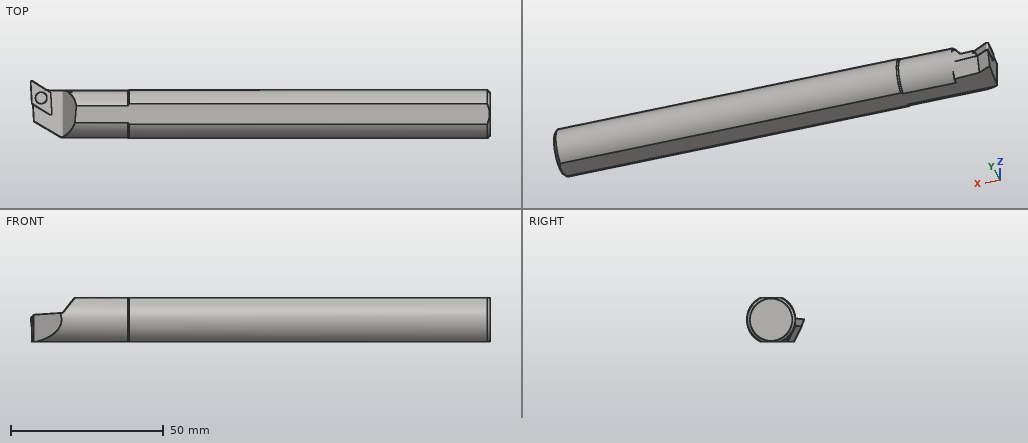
import cadquery as cq
import math

total_length = 151.2
shank_diameter = 16.0
neck_diameter = 15.5
neck_end_x = 31.9
shank_start_x = 32.5
flat_height = 14.5
end_chamfer = 1.0
half_height = flat_height / 2
shank_radius = shank_diameter / 2
neck_radius = neck_diameter / 2

nose_y = 10.9
nose_z = 0.2
insert_side = 7.9
insert_thickness = 2.4
insert_angle = 55.0
lead_angle = 3.0
clearance_angle = 7.0
nose_radius = 0.5
stud_diameter = 3.8
pocket_clearance = 0.6

rake_angle = 6.5
wall_foot_x = 10.6
wall_angle = 36.0
wall_fillet = 0.6
cut_size = 45.3

face_x = 1.0
face_y = -2.4
tip_x = 0.3
tip_y = 10.1
tip_bottom_y = 7.5
heel_x = 10.6
head_end_x = 13.6
shoulder_x = 4.5
shoulder_y = 8.0
head_end_y = 7.4
relief_top_z = -2.1
head_top_z = 3.0


def tilt(body):
    """Move a body from the rake frame to the nose height and rake tilt."""
    return body.rotate((0, nose_y, 0), (1, nose_y, 0), -rake_angle).translate((0, 0, nose_z))


def make_shaft():
    """Round bar with a conical step, chamfered at its end and flattened above and below."""
    profile = [
        (0, 0),
        (0, neck_radius),
        (neck_end_x, neck_radius),
        (shank_start_x, shank_radius),
        (total_length - end_chamfer, shank_radius),
        (total_length, shank_radius - end_chamfer),
        (total_length, 0),
    ]
    bar = cq.Workplane("XY").polyline(profile).close().revolve(360, (0, 0, 0), (1, 0, 0))
    flats = cq.Workplane("XY").box(2 * total_length, 2 * shank_diameter, flat_height)
    return bar.intersect(flats)


def head_outline():
    """Corners of the head, counted from the front tip round by the -Y side."""
    return [
        (tip_x, tip_y),
        (face_x, face_y),
        (heel_x, -shank_radius),
        (head_end_x, -shank_radius),
        (head_end_x, head_end_y),
        (shoulder_x, shoulder_y),
    ]


def make_head():
    """Head block with a leaning flank below the nose and a round -Y side."""
    outline = head_outline()
    flank_shift_y = tip_y - tip_bottom_y
    flank_shift_x = flank_shift_y * (face_x - tip_x) / (tip_y - face_y)
    bottom = [
        (tip_x + flank_shift_x, tip_bottom_y),
        *outline[1:4],
        (head_end_x, head_end_y - flank_shift_y),
        (shoulder_x + flank_shift_x, shoulder_y - flank_shift_y),
    ]
    lower = (
        cq.Workplane("XY", origin=(0, 0, -half_height))
        .polyline(bottom)
        .close()
        .workplane(offset=relief_top_z + half_height)
        .polyline(outline)
        .close()
        .loft(ruled=True)
    )
    upper = (
        cq.Workplane("XY", origin=(0, 0, relief_top_z))
        .polyline(outline)
        .close()
        .extrude(head_top_z - relief_top_z)
    )
    round_side = cq.Workplane("YZ").circle(neck_radius).extrude(head_end_x)
    nose_side = cq.Workplane("XY").box(
        head_end_x, shank_diameter, flat_height, centered=(False, False, True)
    )
    return lower.union(upper).intersect(round_side.union(nose_side))


def trim_front(shaft):
    """Keep only the part of the shaft behind the heel and front face."""
    waste = (
        cq.Workplane("XY", origin=(0, 0, -cut_size / 2))
        .polyline([
            (-cut_size, cut_size), (-cut_size, -shank_radius), (heel_x, -shank_radius),
            (face_x, face_y), (tip_x, tip_y), (tip_x, cut_size),
        ])
        .close()
        .extrude(cut_size)
    )
    return shaft.cut(waste)


def make_rake_cut():
    """Space above the rake face, with a small fillet at the wall foot."""
    wall_top_x = wall_foot_x + cut_size * math.tan(math.radians(wall_angle))
    cut = (
        cq.Workplane("XZ", origin=(0, cut_size, 0))
        .polyline([(-cut_size, 0), (wall_foot_x, 0), (wall_top_x, cut_size), (-cut_size, cut_size)])
        .close()
        .extrude(2 * cut_size)
        .edges(cq.selectors.NearestToPointSelector((wall_foot_x, 0, 0)))
        .fillet(wall_fillet)
    )
    return tilt(cut)


front_edge_angle = math.radians(lead_angle - 90)
side_edge_angle = front_edge_angle + math.radians(insert_angle)
front_edge = cq.Vector(math.cos(front_edge_angle), math.sin(front_edge_angle)) * insert_side
side_edge = cq.Vector(math.cos(side_edge_angle), math.sin(side_edge_angle)) * insert_side


bisector_angle = (front_edge_angle + side_edge_angle) / 2
arc_offset = nose_radius / math.sin(math.radians(insert_angle / 2))
nose = cq.Vector(
    nose_radius - arc_offset * math.cos(bisector_angle),
    nose_y - nose_radius - arc_offset * math.sin(bisector_angle),
)
insert_center = nose + (front_edge + side_edge) / 2


def make_insert_blank():
    """Rhombus narrowing downwards, with rounded acute corners, in the rake frame."""
    corners = [nose, nose + front_edge, nose + front_edge + side_edge, nose + side_edge]
    blank = (
        cq.Workplane("XY")
        .polyline([corner.toTuple()[:2] for corner in corners])
        .close()
        .extrude(-insert_thickness, taper=clearance_angle)
    )
    for corner in (corners[0], corners[2]):
        middle = corner - cq.Vector(0, 0, insert_thickness / 2)
        blank = blank.edges(cq.selectors.NearestToPointSelector(middle.toTuple())).fillet(nose_radius)
    return blank


def make_stud():
    """Round stud in the insert's middle, flush with its top and bottom faces."""
    return (
        cq.Workplane("XY")
        .center(insert_center.x, insert_center.y)
        .circle(stud_diameter / 2)
        .extrude(-insert_thickness)
    )


def make_insert():
    """Insert with a hole that fits over the holder's stud."""
    return tilt(make_insert_blank().cut(make_stud()))


def make_holder():
    """Shaft and head with the rake face and the insert pocket cut in, the stud left standing."""
    blank = make_insert_blank()
    outward = (nose - insert_center).normalized() * pocket_clearance
    pocket = tilt(blank.union(blank.translate(outward.toTuple())).cut(make_stud()))
    body = trim_front(make_shaft()).union(make_head())
    return body.cut(make_rake_cut()).cut(pocket)


holder = make_holder()
insert = make_insert()

result = cq.Compound.makeCompound([holder.val(), insert.val()])